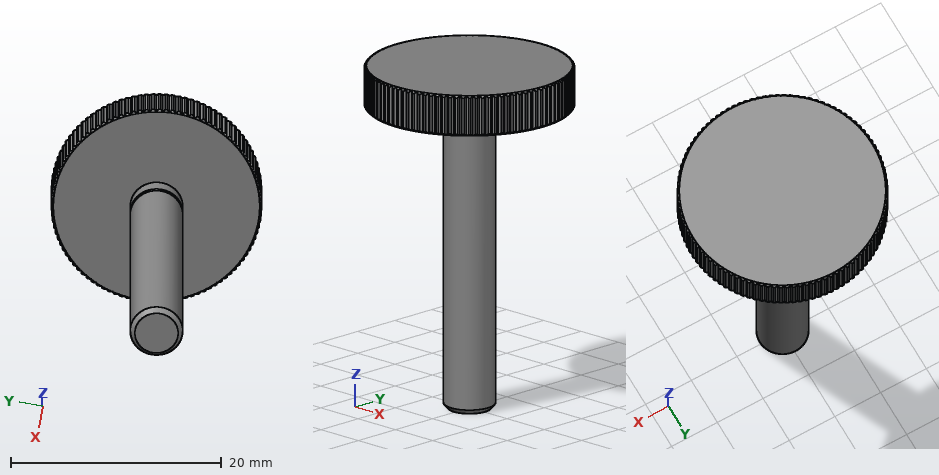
import cadquery as cq
import math

total_length = 34
head_diameter = 20.0
head_thickness = 4.0
shank_diameter = 5.0

groove_count = 100
groove_depth = 0.2
groove_width = 2 * groove_depth
rim_chamfer = groove_depth

collar_length = 1.55
undercut_height = 0.4
undercut_depth = 0.45

tip_height = 0.5
tip_inset = 0.45

head_radius = head_diameter / 2
shank_radius = shank_diameter / 2
head_bottom = total_length - head_thickness
collar_bottom = head_bottom - collar_length
shank_top = collar_bottom - undercut_height


def make_shank():
    """Revolve the pin: chamfered tip, straight shank, one-sided undercut and collar."""
    profile = [
        (0, 0),
        (shank_radius - tip_inset, 0),
        (shank_radius, tip_height),
        (shank_radius, shank_top),
        (shank_radius - undercut_depth, shank_top),
        (shank_radius, collar_bottom),
        (shank_radius, head_bottom),
        (0, head_bottom),
    ]
    return cq.Workplane("XZ").polyline(profile).close().revolve(360, (0, 0), (0, 1))


def rim_point(radius, angle):
    """Return the XY point at a given radius and angle around the axis."""
    return radius * math.cos(angle), radius * math.sin(angle)


def make_knurled_disc():
    """Extrude a toothed outline: V grooves between flat-topped teeth, one groove centred on +X."""
    root_radius = head_radius - groove_depth
    pitch_angle = 2 * math.pi / groove_count
    half_groove = groove_width / head_radius / 2
    outline = cq.Workplane("XY").workplane(offset=head_bottom)
    outline = outline.moveTo(*rim_point(root_radius, 0))
    for index in range(groove_count):
        groove_middle = index * pitch_angle
        next_groove_middle = groove_middle + pitch_angle
        tooth_start = rim_point(head_radius, groove_middle + half_groove)
        tooth_middle = rim_point(head_radius, groove_middle + pitch_angle / 2)
        tooth_end = rim_point(head_radius, next_groove_middle - half_groove)
        outline = outline.lineTo(*tooth_start)
        outline = outline.threePointArc(tooth_middle, tooth_end)
        if index < groove_count - 1:
            outline = outline.lineTo(*rim_point(root_radius, next_groove_middle))
    return outline.close().extrude(head_thickness)


def make_head():
    """Trim the knurled disc with a chamfered cylinder so both rims are bevelled."""
    envelope = (
        cq.Workplane("XY")
        .workplane(offset=head_bottom)
        .circle(head_radius)
        .extrude(head_thickness)
        .edges()
        .chamfer(rim_chamfer)
    )
    return make_knurled_disc().intersect(envelope)


result = make_head().union(make_shank())